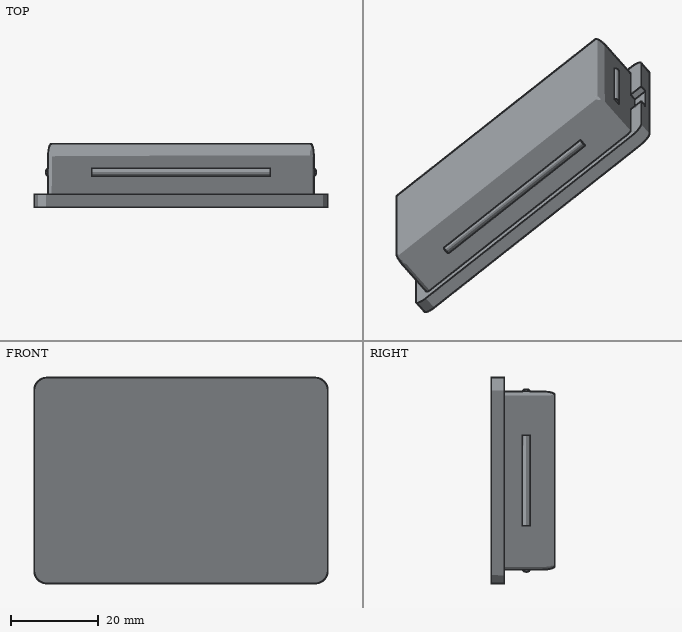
import cadquery as cq

PLATE_X = 67.0
PLATE_Z = 47.0
PLATE_THICKNESS = 3.0
PLATE_CORNER_RADIUS = 3.0

TOTAL_DEPTH = 14.5
BODY_MARGIN = 3.15
BODY_X = PLATE_X - 2 * BODY_MARGIN
BODY_Z = PLATE_Z - 2 * BODY_MARGIN
BODY_CORNER_RADIUS = 1.0

REAR_CURVE_DEPTH = 3.0
REAR_CURVE_INSET = 0.8
REAR_CURVE_START = TOTAL_DEPTH - REAR_CURVE_DEPTH

RIB_RADIUS = 1.0
RIB_HEIGHT = 0.5
RIB_Y = 8.0
RIB_END_GAP = 10.0

NOTCH_WIDTH = 10.0
NOTCH_DEPTH = 1.5


def make_plate():
    return (
        cq.Workplane("XZ")
        .rect(PLATE_X, PLATE_Z)
        .extrude(-PLATE_THICKNESS)
        .edges("|Y")
        .fillet(PLATE_CORNER_RADIUS)
    )


def round_to_rear(outline, start_angle):
    """Continue an outline with the quarter ellipse between a body side and the rear face."""
    return outline.ellipseArc(
        REAR_CURVE_INSET,
        REAR_CURVE_DEPTH,
        start_angle,
        start_angle + 90,
        startAtCurrent=True,
    )


def make_slab(width, length):
    """Prism along Z, centred, with straight sides rounded into the rear face."""
    half = width / 2
    outline = (
        cq.Workplane("XY", origin=(0, 0, -length / 2))
        .moveTo(-half, PLATE_THICKNESS)
        .lineTo(half, PLATE_THICKNESS)
        .lineTo(half, REAR_CURVE_START)
    )
    outline = round_to_rear(outline, 0)
    outline = outline.lineTo(REAR_CURVE_INSET - half, TOTAL_DEPTH)
    outline = round_to_rear(outline, 90)
    return outline.close().extrude(length)


def make_corner():
    """Quarter of a round post along the Y axis, filling +X and -Z, with the rounded rear end."""
    outline = (
        cq.Workplane("XY")
        .moveTo(0, PLATE_THICKNESS)
        .lineTo(BODY_CORNER_RADIUS, PLATE_THICKNESS)
        .lineTo(BODY_CORNER_RADIUS, REAR_CURVE_START)
    )
    outline = round_to_rear(outline, 0).lineTo(0, TOTAL_DEPTH)
    return outline.close().revolve(90, (0, 0, 0), (0, 1, 0))


def make_body():
    straight_x = BODY_X - 2 * BODY_CORNER_RADIUS
    straight_z = BODY_Z - 2 * BODY_CORNER_RADIUS
    slab_x = make_slab(BODY_X, straight_z)
    slab_z = make_slab(BODY_Z, straight_x).rotate((0, 0, 0), (0, 1, 0), 90)
    body = slab_x.union(slab_z)
    corner = make_corner()
    for turn, side_x, side_z in ((0, 1, -1), (90, -1, -1), (180, -1, 1), (270, 1, 1)):
        turned = corner.rotate((0, 0, 0), (0, 1, 0), turn)
        body = body.union(turned.translate((side_x * straight_x / 2, 0, side_z * straight_z / 2)))
    return body


def make_ribs():
    sink = RIB_RADIUS - RIB_HEIGHT
    axis_x = BODY_X / 2 - sink
    axis_z = BODY_Z / 2 - sink
    length_x = BODY_X - 2 * RIB_END_GAP
    length_z = BODY_Z - 2 * RIB_END_GAP
    ribs = cq.Workplane("XY")
    for side in (-1, 1):
        along_x = cq.Workplane("YZ").center(RIB_Y, side * axis_z).circle(RIB_RADIUS)
        along_z = cq.Workplane("XY").center(side * axis_x, RIB_Y).circle(RIB_RADIUS)
        ribs = ribs.add(along_x.extrude(length_x / 2, both=True))
        ribs = ribs.add(along_z.extrude(length_z / 2, both=True))
    return ribs.combine()


def make_notch():
    """Cutter from the -X edge of the plate inward to the body side."""
    centre_x = (BODY_MARGIN - PLATE_X) / 2
    centre_y = PLATE_THICKNESS - NOTCH_DEPTH / 2
    cutter = cq.Workplane("XY").box(BODY_MARGIN, NOTCH_DEPTH, NOTCH_WIDTH)
    return cutter.translate((centre_x, centre_y, 0))


result = make_plate().cut(make_notch()).union(make_body()).union(make_ribs())